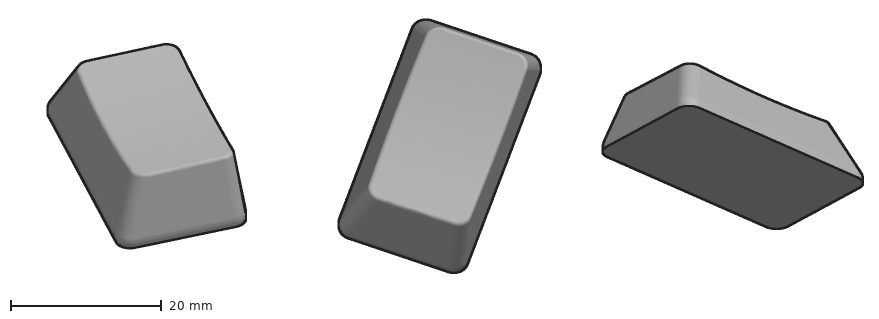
import cadquery as cq
import math

LENGTH = 32.45
WIDTH = 18.16
CORNER_RADIUS = 2.0

BEND_HEIGHT = 1.0
BEND_HALF_SPAN = 0.33
SIDE_LEAN = 22.0
FRONT_LEAN = 21.8
BACK_LEAN = 5.0

BLANK_HEIGHT = 10.0
BLANK_CORNER_RADIUS = 1.9

DISH_RADIUS = 106.0
DISH_FLOOR = 8.47
DISH_TILT = 1.0
RIM_RADIUS = 0.5

SKIRT_TOP = BEND_HEIGHT - BEND_HALF_SPAN
BEND_TOP = BEND_HEIGHT + BEND_HALF_SPAN


def section(height, lean_height, corner_radius):
    """Rounded rectangle at a height, each side inset by its lean over lean_height."""
    side_inset = lean_height * math.tan(math.radians(SIDE_LEAN))
    front_inset = lean_height * math.tan(math.radians(FRONT_LEAN))
    back_inset = lean_height * math.tan(math.radians(BACK_LEAN))
    outline = (
        cq.Sketch()
        .rect(LENGTH - 2 * side_inset, WIDTH - front_inset - back_inset)
        .vertices()
        .fillet(corner_radius)
    )
    return outline.moved(cq.Location(cq.Vector(0, (front_inset - back_inset) / 2, height)))


def make_blank():
    """Skirt, bend and leaning walls stacked into one block with rounded corners."""
    foot = section(0, 0, CORNER_RADIUS)
    bend_start = section(SKIRT_TOP, 0, CORNER_RADIUS)
    bend_middle = section(BEND_HEIGHT, BEND_HALF_SPAN / 4, CORNER_RADIUS)
    bend_end = section(BEND_TOP, BEND_HALF_SPAN, CORNER_RADIUS)
    blank_top = section(BLANK_HEIGHT, BLANK_HEIGHT - BEND_HEIGHT, BLANK_CORNER_RADIUS)

    skirt = cq.Workplane().placeSketch(foot, bend_start).loft(ruled=True)
    bend = cq.Workplane().placeSketch(bend_start, bend_middle, bend_end).loft()
    walls = cq.Workplane().placeSketch(bend_end, blank_top).loft(ruled=True)
    return skirt.union(bend).union(walls)


def make_dish_cutter():
    """Cylinder that removes everything above the dished top."""
    return (
        cq.Workplane("XZ")
        .circle(DISH_RADIUS)
        .extrude(WIDTH, both=True)
        .translate((0, 0, DISH_RADIUS + DISH_FLOOR))
        .rotate((0, 0, DISH_FLOOR), (1, 0, DISH_FLOOR), DISH_TILT)
    )


def make_keycap():
    """Dish the blank and round the rim around the dished face."""
    dished = make_blank().cut(make_dish_cutter())
    dish_face = dished.faces(cq.selectors.NearestToPointSelector((0, 0, DISH_FLOOR)))
    return dish_face.edges().fillet(RIM_RADIUS)


result = make_keycap()